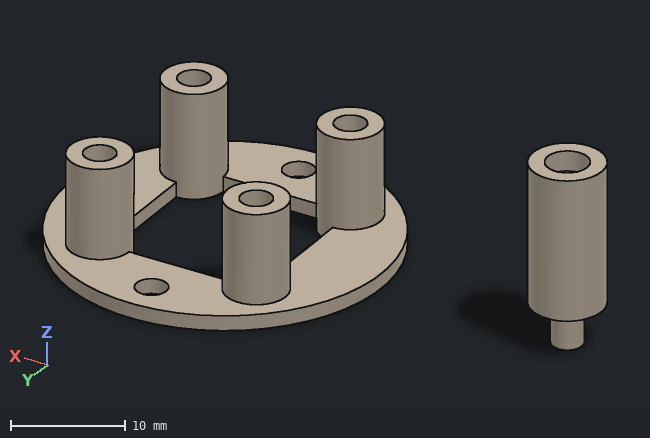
import cadquery as cq

plate_diameter = 32.0
plate_thickness = 1.5
window_side = 16.0
post_diameter = 6.0
post_height = 9.0
post_bore_diameter = 3.0
mount_hole_diameter = 3.0
mount_hole_radius = 12.5

standoff_offset = 35.0
standoff_diameter = 7.0
standoff_top = 18.0
stem_diameter = 3.0
stem_length = 4.0
socket_diameter = 4.0
socket_depth = 2.0

carrier_height = plate_thickness + post_height


def cylinder(diameter, height, x=0.0, y=0.0, z=0.0):
    """Upright cylinder standing on height z."""
    return cq.Workplane("XY", origin=(x, y, z)).circle(diameter / 2).extrude(height)


def make_carrier():
    """Round plate with a post centred on each corner of its square window."""
    window = cq.Workplane("XY").rect(window_side, window_side).extrude(plate_thickness)
    carrier = cylinder(plate_diameter, plate_thickness).cut(window)

    half_window = window_side / 2
    corners = [(sx * half_window, sy * half_window) for sx in (-1, 1) for sy in (-1, 1)]
    for x, y in corners:
        carrier = carrier.union(cylinder(post_diameter, carrier_height, x, y))
        carrier = carrier.cut(cylinder(post_bore_diameter, carrier_height, x, y))

    for side in (-1, 1):
        carrier = carrier.cut(
            cylinder(mount_hole_diameter, plate_thickness, y=side * mount_hole_radius)
        )
    return carrier


def make_standoff():
    """Free-standing standoff beside the carrier, resting on its stem."""
    x = -standoff_offset
    barrel = cylinder(standoff_diameter, standoff_top - stem_length, x, z=stem_length)
    stem = cylinder(stem_diameter, stem_length, x)
    socket = cylinder(socket_diameter, socket_depth, x, z=standoff_top - socket_depth)
    return barrel.union(stem).cut(socket)


carrier = make_carrier()
standoff = make_standoff()

result = cq.Compound.makeCompound([carrier.val(), standoff.val()])